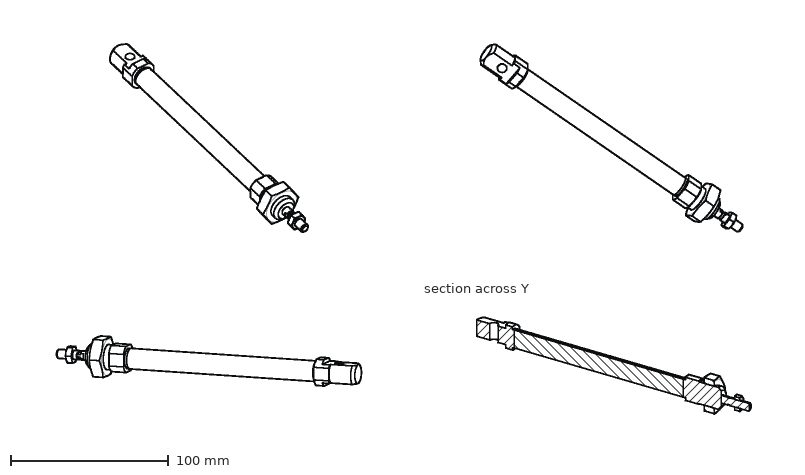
import cadquery as cq
import math


overall_length = 204.0
rear_thread_end = 16.7
rear_relief_end = 21.6
rear_flange_end = 27.0
barrel_start = 28.4
barrel_end = 154.6
front_flange_start = 156.0
front_flange_end = 166.0
mount_nut_start = 170.0
mount_nut_thickness = 8.0
front_thread_end = 181.0
front_cap_end = 183.0
rod_flats_start = 185.6
rod_groove_start = 187.7
rod_groove_end = 189.3
rod_flats_end = 190.1
lock_nut_start = 192.8
lock_nut_thickness = 4.0

barrel_diameter = 13.3
thread_diameter = 16.1
cap_end_diameter = 12.0
cap_end_chamfer = front_cap_end - front_thread_end

flange_across_flats = 17.0
flange_corner_diameter = 18.8

lug_thickness = 12.0
pivot_hole_x = 12.9
pivot_hole_diameter = 6.0

mount_nut_across_flats = 24.0
mount_nut_washer_diameter = 23.5
mount_nut_chamfer = 0.6

rod_diameter = 6.0
rod_across_flats = 4.9
rod_groove_diameter = 5.0
rod_tip_chamfer = 0.8

lock_nut_across_flats = 10.0
lock_nut_washer_diameter = 9.5
lock_nut_chamfer = 0.6


def section_at(x):
    """Sketch plane facing +X at the given position."""
    return cq.Workplane("YZ").workplane(offset=x)


def cylinder(start, end, diameter):
    return section_at(start).circle(diameter / 2).extrude(end - start)


def box(start, end, width, height):
    return section_at(start).rect(width, height).extrude(end - start)


def cone(start, end, start_diameter, end_diameter):
    """Truncated cone about the X axis."""
    profile = [
        (start, 0),
        (start, start_diameter / 2),
        (end, end_diameter / 2),
        (end, 0),
    ]
    return cq.Workplane("XY").polyline(profile).close().revolve(360, (0, 0, 0), (1, 0, 0))


def flange(start, end):
    """Square wrench section whose corners are turned round."""
    square = box(start, end, flange_across_flats, flange_across_flats)
    return square.intersect(cylinder(start, end, flange_corner_diameter))


def make_rear_cap():
    """Rear cap with a flattened threaded lug that carries the pivot hole."""
    cap = (
        cone(0, cap_end_chamfer, cap_end_diameter, thread_diameter)
        .union(cylinder(cap_end_chamfer, rear_thread_end, thread_diameter))
        .union(flange(rear_thread_end, rear_flange_end))
        .union(cylinder(rear_flange_end, barrel_start, barrel_diameter))
    )
    lug_envelope = box(0, rear_relief_end, flange_corner_diameter, lug_thickness)
    rest_envelope = cylinder(rear_relief_end, barrel_start, flange_corner_diameter)
    cap = cap.intersect(lug_envelope.union(rest_envelope))
    pivot_hole = (
        cq.Workplane("XY")
        .center(pivot_hole_x, 0)
        .circle(pivot_hole_diameter / 2)
        .extrude(lug_thickness, both=True)
    )
    return cap.cut(pivot_hole)


def make_barrel():
    return cylinder(barrel_start, barrel_end, barrel_diameter)


def make_front_cap():
    """Front cap with a wrench section and a mounting thread with a chamfered end."""
    return (
        cylinder(barrel_end, front_flange_start, barrel_diameter)
        .union(flange(front_flange_start, front_flange_end))
        .union(cylinder(front_flange_end, front_thread_end, thread_diameter))
        .union(cone(front_thread_end, front_cap_end, thread_diameter, cap_end_diameter))
    )


def chamfer_envelope(start, end, washer_diameter, corner_diameter, rear_chamfer, front_chamfer):
    """Turned shape that bevels the corners of a hexagon; a zero chamfer leaves that face sharp."""
    washer_radius = washer_diameter / 2
    corner_radius = corner_diameter / 2
    profile = [(start, 0)]
    if rear_chamfer > 0:
        profile.append((start, washer_radius))
    profile.append((start + rear_chamfer, corner_radius))
    profile.append((end - front_chamfer, corner_radius))
    if front_chamfer > 0:
        profile.append((end, washer_radius))
    profile.append((end, 0))
    return cq.Workplane("XY").polyline(profile).close().revolve(360, (0, 0, 0), (1, 0, 0))


def make_hex_nut(start, thickness, across_flats, bore, washer_diameter, rear_chamfer, front_chamfer):
    """Hexagon nut with two flats facing +Z and -Z."""
    end = start + thickness
    corner_diameter = across_flats / math.cos(math.pi / 6)
    hexagon = section_at(start).polygon(6, corner_diameter).extrude(thickness)
    envelope = chamfer_envelope(
        start, end, washer_diameter, corner_diameter, rear_chamfer, front_chamfer
    )
    return hexagon.intersect(envelope).cut(cylinder(start, end, bore))


def make_piston_rod():
    """Threaded rod end with a thread relief groove and two wrench flats facing +Y and -Y."""
    rod = cylinder(front_cap_end, overall_length, rod_diameter)
    rod = rod.faces(">X").chamfer(rod_tip_chamfer)
    groove_blank = cylinder(rod_groove_start, rod_groove_end, rod_diameter)
    groove_core = cylinder(rod_groove_start, rod_groove_end, rod_groove_diameter)
    rod = rod.cut(groove_blank.cut(groove_core))
    flats_blank = box(rod_flats_start, rod_flats_end, 2 * rod_diameter, 2 * rod_diameter)
    flats_core = box(rod_flats_start, rod_flats_end, rod_across_flats, 2 * rod_diameter)
    return rod.cut(flats_blank.cut(flats_core))


rear_cap = make_rear_cap()
barrel = make_barrel()
front_cap = make_front_cap()
piston_rod = make_piston_rod()
mount_nut = make_hex_nut(
    mount_nut_start,
    mount_nut_thickness,
    mount_nut_across_flats,
    thread_diameter,
    mount_nut_washer_diameter,
    mount_nut_chamfer,
    mount_nut_chamfer,
)
lock_nut = make_hex_nut(
    lock_nut_start,
    lock_nut_thickness,
    lock_nut_across_flats,
    rod_diameter,
    lock_nut_washer_diameter,
    0,
    lock_nut_chamfer,
)

result = cq.Compound.makeCompound([
    rear_cap.val(),
    barrel.val(),
    front_cap.val(),
    mount_nut.val(),
    piston_rod.val(),
    lock_nut.val(),
])